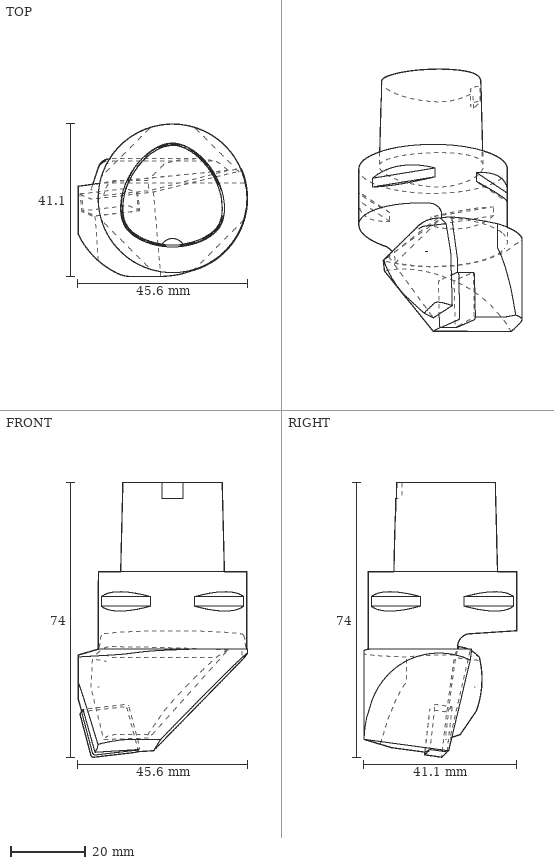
import cadquery as cq
import math


shank_height = 24.05
shank_base_radius = 14.0
shank_top_radius = 13.4
lobe_height = 0.9
lobe_points = 48
key_radius = 3.3
key_depth = 4.4
key_center_y = -14.1

flange_radius = 40.0 / 2
flange_height = 20.8
groove_count = 4
groove_z = -8.0
groove_floor_distance = 17.7
groove_floor_half = 1.25
groove_flank_angle = 30

head_left = -25.4
head_front = -21.1
head_back_radius = 20.2
head_bottom = -50.3
head_back_y = 10.0
flat_start_x = -10.7
flat_end_x = -4.7
shoulder_slope = 0.3

chip_y = 8.95
chip_x_slope = 0.1
chip_z_slope = 0.14
chip_normal = cq.Vector(-chip_x_slope, 1, -chip_z_slope).normalized()

notch_wall_y = 4.15
notch_round = 3.4
notch_bottom = -20.1
notch_rim_z = -15.9
notch_inner_z = -16.7

boss_bottom = -45.65
boss_taper = 18
boss_round = 3.3
boss_round_y = 4.8
boss_left_limit = -14.8
boss_start_y = -0.75
boss_depth = 13.3

insert_thickness = 4.65
insert_nose = 0.8
insert_tip = (-21.8, -50.0)
insert_top = (-25.1, -37.75)
insert_side = (-9.1, -48.55)

cutter_size = 148.0


def half_space(first, second, third):
    """Large block on the side of the plane that the points' right-hand normal points to."""
    origin = cq.Vector(*first)
    along = cq.Vector(*second) - origin
    normal = along.cross(cq.Vector(*third) - origin)
    plane = cq.Plane(origin=origin, xDir=along, normal=normal)
    return cq.Workplane(plane).rect(cutter_size, cutter_size).extrude(cutter_size)


def on_chip_face(x, z):
    return cq.Vector(x, chip_y + chip_x_slope * x + chip_z_slope * z, z)


def lobe_outline(radius):
    """Constant-width three-lobed curve with one lobe toward +Y."""
    points = []
    for index in range(lobe_points):
        angle = 2 * math.pi * index / lobe_points
        support = radius - lobe_height * math.sin(3 * angle)
        change = -3 * lobe_height * math.cos(3 * angle)
        x = support * math.cos(angle) - change * math.sin(angle)
        y = support * math.sin(angle) + change * math.cos(angle)
        points.append((x, y))
    return points


def make_shank():
    shank = (
        cq.Workplane("XY")
        .spline(lobe_outline(shank_base_radius), periodic=True).close()
        .workplane(offset=shank_height)
        .spline(lobe_outline(shank_top_radius), periodic=True).close()
        .loft(ruled=True)
    )
    key = (
        cq.Workplane("XY", origin=(0, key_center_y, shank_height))
        .circle(key_radius).extrude(-key_depth)
    )
    return shank.cut(key)


def make_groove(angle):
    """Trapezoid groove cut along a chord of the flange."""
    reach = 2 * flange_radius - groove_floor_distance
    flank = (reach - groove_floor_distance) * math.tan(math.radians(groove_flank_angle))
    mouth_half = groove_floor_half + flank
    return (
        cq.Workplane("XZ", origin=(0, 0, groove_z))
        .moveTo(groove_floor_distance, -groove_floor_half)
        .lineTo(groove_floor_distance, groove_floor_half)
        .lineTo(reach, mouth_half)
        .lineTo(reach, -mouth_half)
        .close()
        .extrude(flange_radius, both=True)
        .rotate((0, 0, 0), (0, 0, 1), angle)
    )


def make_flange():
    flange = cq.Workplane("XY").circle(flange_radius).extrude(-flange_height)
    for index in range(groove_count):
        flange = flange.cut(make_groove(45 + index * 360 / groove_count))
    arc_inset = notch_round * (1 - math.sqrt(0.5))
    notch = (
        cq.Workplane("YZ")
        .moveTo(flange_radius, notch_rim_z)
        .lineTo(notch_wall_y + notch_round, notch_inner_z)
        .threePointArc(
            (notch_wall_y + arc_inset, notch_inner_z - arc_inset),
            (notch_wall_y, notch_inner_z - notch_round),
        )
        .lineTo(notch_wall_y, -flange_height)
        .lineTo(flange_radius, -flange_height)
        .close()
        .extrude(flange_radius, both=True)
    )
    return flange.cut(notch)


def make_head_blank():
    blank = (
        cq.Workplane("XY", origin=(0, 0, head_bottom))
        .moveTo(head_left, head_back_y)
        .lineTo(head_left, -9.7)
        .threePointArc((-20.95, -15.9), (-15.0, -20.1))
        .threePointArc((-12.95, -20.9), (flat_start_x, head_front))
        .lineTo(flat_end_x, head_front)
        .threePointArc((-1.2, -20.95), (2.3, -20.4))
        .lineTo(5.2, -19.5)
        .threePointArc(
            (head_back_radius, 0),
            (math.sqrt(head_back_radius ** 2 - head_back_y ** 2), head_back_y),
        )
        .close()
        .extrude(-head_bottom - flange_height)
    )
    cone_radius = 2 * flange_radius
    cone_drop = shoulder_slope * (cone_radius - flange_radius)
    shoulder = (
        cq.Workplane("XZ")
        .moveTo(0, head_bottom)
        .lineTo(cone_radius, head_bottom)
        .lineTo(cone_radius, -flange_height - cone_drop)
        .lineTo(flange_radius, -flange_height)
        .lineTo(0, -flange_height)
        .close()
        .revolve(360, (0, 0, 0), (0, 1, 0))
    )
    return blank.intersect(shoulder)


def make_boss():
    """Tapered clamp boss with a bulged profile, standing on the chip face."""
    footprint = (
        cq.Workplane("XZ", origin=(0, boss_start_y, 0))
        .polyline([
            (-16.3, notch_rim_z), (-22.95, -22.6), (-22.95, -31.45),
            (-18.9, boss_bottom), (-5.9, boss_bottom), (23.8, notch_rim_z),
        ])
        .close()
        .extrude(-boss_depth, taper=boss_taper)
    )
    bulge = (
        cq.Workplane("YZ")
        .moveTo(boss_start_y, notch_bottom)
        .lineTo(4.15, notch_bottom)
        .threePointArc((8.3, -21.5), (10.0, -23.1))
        .threePointArc((10.6, -26.65), (9.2, -37.45))
        .lineTo(4.45, -44.4)
        .lineTo(1.8, boss_bottom)
        .lineTo(boss_start_y, boss_bottom)
        .close()
        .extrude(2 * flange_radius, both=True)
    )
    boss = footprint.intersect(bulge)
    left_outer_edges = cq.selectors.BoxSelector(
        (-flange_radius, boss_round_y, head_bottom), (boss_left_limit, flange_radius, notch_bottom - 0.75))
    boss = boss.edges(left_outer_edges).fillet(boss_round)
    return boss.cut(half_space(
        on_chip_face(0, 0).toTuple(), on_chip_face(0.75, 0).toTuple(), on_chip_face(0, 0.75).toTuple()))


def make_head():
    head = make_head_blank()
    head = head.cut(half_space(
        on_chip_face(0, 0).toTuple(), on_chip_face(0, 0.75).toTuple(), on_chip_face(0.75, 0).toTuple()))
    head = head.union(make_boss())
    head = head.cut(half_space((20.2, -20.7, -20.95), (-3.3, -20.7, -45.3), (20.2, 1.5, -22.0)))
    head = head.cut(half_space((-11.1, head_front, -45.15), (-11.1, -13.7, -47.35), (-4.45, head_front, -45.15)))
    head = head.cut(half_space((flat_end_x, head_front, -45.2), (-20, -16.5, -47.0), (-4.95, 1.1, -48.1)))
    head = head.cut(half_space((head_left, -9.7, -29.6), (head_left, 2.0, -34.5), (-20.05, -16.5, -46.6)))
    return head


def make_insert():
    """Four-sided cutting plate lying flush with the chip face."""
    far = (insert_top[0] + insert_side[0] - insert_tip[0], insert_top[1] + insert_side[1] - insert_tip[1])
    corners = [on_chip_face(x, z) for x, z in (insert_tip, insert_top, far, insert_side)]
    outline = cq.Wire.makePolygon(corners, close=True)
    plate = cq.Solid.extrudeLinear(outline, [], chip_normal * -insert_thickness)
    return cq.Workplane(plate).edges(cq.selectors.ParallelDirSelector(chip_normal)).fillet(insert_nose)


insert = make_insert()
holder = make_flange().union(make_shank()).union(make_head()).cut(insert)

result = cq.Compound.makeCompound([holder.val(), insert.val()])